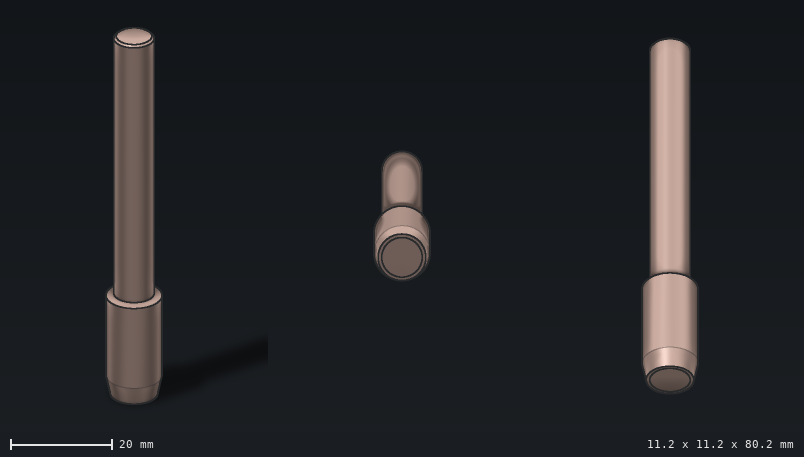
import cadquery as cq

total_length = 80.2

rod_diameter = 8.0
rod_chamfer = 0.5

sleeve_diameter = 11.15
sleeve_length = 22.45
shoulder_height = 0.5
nose_diameter = 9.5
nose_height = 4.1

rod_radius = rod_diameter / 2
sleeve_radius = sleeve_diameter / 2
nose_radius = nose_diameter / 2


def make_rod():
    """Full-length round rod with a chamfered top edge."""
    blank = cq.Workplane("XY").circle(rod_radius).extrude(total_length)
    return blank.faces(">Z").edges().chamfer(rod_chamfer)


def make_sleeve():
    """Revolved sleeve with a tapered nose, a shallow conical shoulder and a through bore for the rod."""
    half_section = (
        cq.Workplane("XZ")
        .moveTo(rod_radius, 0)
        .lineTo(nose_radius, 0)
        .lineTo(sleeve_radius, nose_height)
        .lineTo(sleeve_radius, sleeve_length - shoulder_height)
        .lineTo(rod_radius, sleeve_length)
        .close()
    )
    return half_section.revolve(360, (0, 0, 0), (0, 1, 0))


rod = make_rod()
sleeve = make_sleeve()

result = cq.Compound.makeCompound([rod.val(), sleeve.val()])